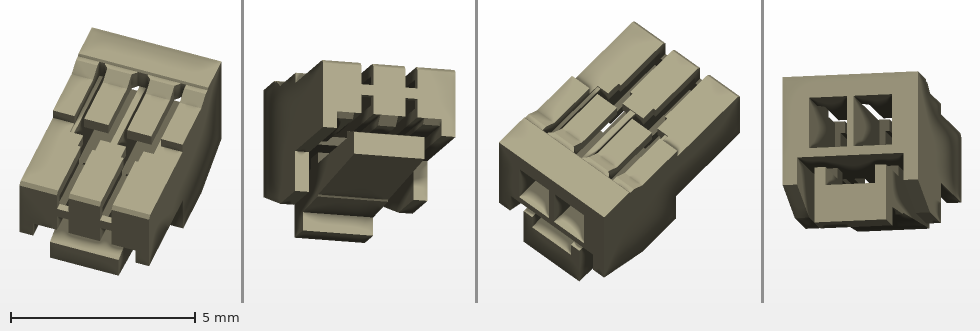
import cadquery as cq


width = 3.75
length = 5.7
height = 4.07
step_y = 2.635
nose_top = 3.505
nose_chamfer = 0.095
deck_top = 3.79
deck_ramp_start = 4.1
deck_ramp_end = 4.45
rear_step_top = 4.005
rear_step_y = 4.6
rear_step_run = 0.045

channel_width = 2.95
nose_underside = 2.07
floor_underside = 1.825
outer_floor_underside = 1.92
cheek_front_bottom = 1.6
cheek_bottom = 0.485
cheek_front_y = 2.68
cheek_taper_y = 4.11
cheek_rear_bottom = 1.07

contact_x = 0.62
slot_width = 0.335
front_wall = 0.205
bar_bottom = 2.59
bar_top = 2.885
cavity_width = 0.74
cavity_bottom = 2.37
cavity_top = 3.185
relief_width = 0.5
relief_y = 1.87
chamber_width = 1.06
chamber_y = 2.29
chamber_top = 3.465

finger_width = 0.7
finger_recess_width = 2.51
finger_flare = 0.12

latch_width = 1.99
latch_nose_bottom = 0.92
tooth_y = 0.705
tooth_top = 1.73
arm_top = 1.53
arm_step_y = 3.45
arm_step_bottom = 0.645
arm_step = 0.045
tab_y = 4.895
tab_root_z = 0.515
trough_width = 1.38
trough_rear_z = 1.025


def block(x_center, x_size, y_range, z_range):
    """Box centred on x_center and spanning the given Y and Z ranges."""
    y0, y1 = y_range
    z0, z1 = z_range
    return cq.Workplane("XY").box(x_size, y1 - y0, z1 - z0).translate(
        (x_center, (y0 + y1) / 2, (z0 + z1) / 2)
    )


def side_profile(x_center, x_size, points):
    """Prism of a (Y, Z) outline, centred on x_center."""
    prism = cq.Workplane("YZ").polyline(points).close().extrude(x_size / 2, both=True)
    return prism.translate((x_center, 0, 0))


def housing():
    return side_profile(0, width, [
        (0, cheek_front_bottom),
        (0, nose_top - nose_chamfer),
        (nose_chamfer, nose_top),
        (step_y, nose_top),
        (step_y, deck_top),
        (deck_ramp_start, deck_top),
        (deck_ramp_end, rear_step_top),
        (rear_step_y, rear_step_top),
        (rear_step_y + rear_step_run, height),
        (length, height),
        (length, cheek_rear_bottom),
        (cheek_taper_y, cheek_bottom),
        (cheek_front_y, cheek_bottom),
        (cheek_front_y, cheek_front_bottom),
    ])


def channel():
    """Space between the cheeks; a 45 degree lead-in at the nose meets the outer floors."""
    return side_profile(0, channel_width, [
        (0, 0),
        (0, nose_underside),
        (nose_underside - outer_floor_underside, outer_floor_underside),
        (step_y, outer_floor_underside),
        (step_y, floor_underside),
        (length, floor_underside),
        (length, 0),
    ])


def center_floor():
    """Thicker floor between the two cavities, with a 45 degree front ramp."""
    return side_profile(0, 2 * contact_x - cavity_width, [
        (0, nose_underside),
        (nose_underside - floor_underside, floor_underside),
        (step_y, floor_underside),
        (step_y, nose_underside),
    ])


def contact_cavity(x):
    slot = block(x, slot_width, (0, chamber_y), (0, height))
    bar = block(x, slot_width, (0, front_wall), (bar_bottom, bar_top))
    cavity = block(x, cavity_width, (front_wall, chamber_y), (cavity_bottom, cavity_top))
    relief = block(x, relief_width, (relief_y, chamber_y), (cavity_bottom, height))
    chamber = block(x, chamber_width, (chamber_y, length), (nose_underside, chamber_top))
    floor_opening = block(x, cavity_width, (chamber_y, step_y), (0, chamber_top))
    underside_pocket = block(x, cavity_width, (0, step_y), (0, nose_underside))
    hollow = slot.cut(bar).union(cavity).union(relief)
    return hollow.union(chamber).union(floor_opening).union(underside_pocket)


def finger(x):
    """Plan-shaped prism of a retaining finger, flared at its root."""
    half = finger_width / 2
    root_half = half + finger_flare
    flare_end_y = deck_ramp_end + finger_flare
    return (
        cq.Workplane("XY", origin=(x, 0, chamber_top))
        .polyline([
            (-half, step_y),
            (half, step_y),
            (half, deck_ramp_end),
            (root_half, flare_end_y),
            (root_half, rear_step_y),
            (-root_half, rear_step_y),
            (-root_half, flare_end_y),
            (-half, deck_ramp_end),
        ])
        .close()
        .extrude(height - chamber_top)
    )


def finger_recess():
    recess = block(0, finger_recess_width, (chamber_y, rear_step_y), (chamber_top, height))
    for side in (-1, 1):
        recess = recess.cut(finger(side * contact_x))
    return recess


def latch():
    """Lever with a ramped tooth, a rear press tab and two ribs joining its rims to the floor."""
    lever = side_profile(0, latch_width, [
        (0, latch_nose_bottom),
        (0, arm_top),
        (tooth_y, tooth_top),
        (tooth_y, arm_top),
        (arm_step_y, arm_top),
        (arm_step_y, floor_underside),
        (cheek_taper_y, floor_underside),
        (cheek_taper_y, arm_top),
        (length, arm_top),
        (length, 0),
        (tab_y, 0),
        (tab_y, tab_root_z),
        (arm_step_y + arm_step, arm_step_bottom - arm_step),
        (arm_step_y, arm_step_bottom),
    ])
    trough = side_profile(0, trough_width, [
        (tooth_y, arm_top),
        (tooth_y, floor_underside),
        (length, floor_underside),
        (length, trough_rear_z),
    ])
    return lever.cut(trough)


body = housing().cut(channel()).union(center_floor())
for side in (-1, 1):
    body = body.cut(contact_cavity(side * contact_x))
body = body.cut(finger_recess())
result = body.union(latch())